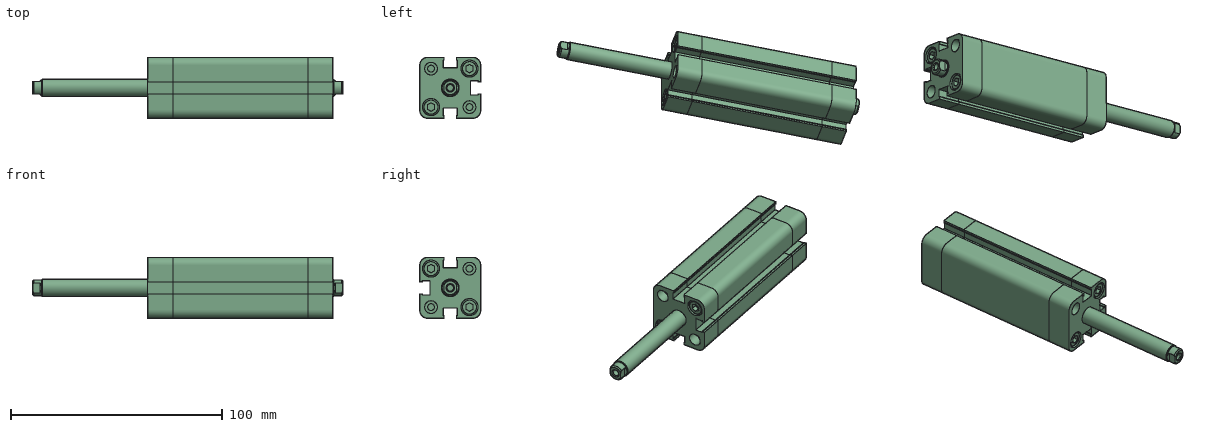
import cadquery as cq
import math


total_length = 147.0
front_overhang = 54.5
rear_overhang = 4.7
cap_length = 11.9
width = 29.0
corner_radius = 3.8

front_tip_x = -total_length / 2
rear_tip_x = total_length / 2
housing_front_x = front_tip_x + front_overhang
housing_rear_x = rear_tip_x - rear_overhang
tube_length = housing_rear_x - housing_front_x - 2 * cap_length

slot_mouth = 5.7
slot_width = 6.6
slot_depth = 4.9
lip_depth = 1.3
slot_angles = (0, 90, 180)

hole_offset = 9.1
mount_bore_diameter = 6.0
mount_bore_depth = 5.9
mount_core_diameter = 3.2
mount_core_depth = 8.8

screw_diameter = 8.1
screw_inset = 0.5
screw_chamfer = 0.7
socket_flats = 3.5
socket_depth = 2.6
socket_turn = 30

rod_diameter = 8.4
tip_diameter = 7.6
tip_length = 4.3
tip_chamfer = 0.6
wrench_flats = 6.0
rod_bore_diameter = 3.1
rod_bore_depth = 8.8
rod_bore_chamfer = 0.5


def cylinder(diameter, length, y=0.0, z=0.0):
    """Cylinder along +X that starts at x = 0."""
    return cq.Workplane("YZ", origin=(0, y, z)).circle(diameter / 2).extrude(length)


def make_slot(length):
    """Material removed by one slot, open towards +Z."""
    top = width / 2
    floor = top - slot_depth
    ledge = top - lip_depth
    half_outline = [
        (0, floor),
        (slot_width / 2, floor),
        (slot_width / 2, ledge),
        (slot_mouth / 2, ledge),
        (slot_mouth / 2, top),
        (0, top),
    ]
    half = cq.Workplane("YZ").polyline(half_outline).close().extrude(length)
    return half.union(half.mirror("XZ"))


def make_profile(length):
    """Housing section from x = 0 with its slots and the hole for the rod."""
    section = cq.Workplane("YZ").rect(width, width).extrude(length).edges("|X").fillet(corner_radius)
    slot = make_slot(length)
    for angle in slot_angles:
        section = section.cut(slot.rotate((0, 0, 0), (1, 0, 0), angle))
    return section.cut(cylinder(rod_diameter, length))


def make_mount_hole(y, z):
    """Material removed by one blind stepped hole."""
    bore = cylinder(mount_bore_diameter, mount_bore_depth, y, z)
    core = cylinder(mount_core_diameter, mount_core_depth, y, z)
    return bore.union(core)


def make_screw_recess(y, z):
    """Material removed around one sunken screw head with a chamfered rim and a hexagon socket."""
    radius = screw_diameter / 2
    recess_half = [
        (0, 0),
        (0, radius),
        (screw_inset + screw_chamfer, radius),
        (screw_inset, radius - screw_chamfer),
        (screw_inset, 0),
    ]
    recess = cq.Workplane("XY").polyline(recess_half).close().revolve(360, (0, 0, 0), (1, 0, 0))
    socket_corners = socket_flats / math.cos(math.pi / 6)
    socket = cq.Workplane("YZ").polygon(6, socket_corners).extrude(screw_inset + socket_depth)
    socket = socket.rotate((0, 0, 0), (1, 0, 0), socket_turn)
    return recess.union(socket).translate((0, y, z))


def make_cap():
    """End cap with its outer face at x = 0."""
    cap = make_profile(cap_length)
    for side in (1, -1):
        offset = side * hole_offset
        cap = cap.cut(make_mount_hole(offset, offset))
        cap = cap.cut(make_screw_recess(-offset, offset))
    return cap


def make_tube():
    """Profile tube between the caps."""
    return make_profile(tube_length).translate((housing_front_x + cap_length, 0, 0))


def make_tip_cut():
    """Material removed at the front rod tip: two wrench flats with sloped ends, and the bore."""
    flat = wrench_flats / 2
    tip = tip_diameter / 2
    slope = tip - flat
    flat_outline = [(0, flat), (tip_length - slope, flat), (tip_length, tip), (0, tip)]
    side = cq.Workplane("XY").polyline(flat_outline).close().extrude(tip, both=True)
    bore = cylinder(rod_bore_diameter, rod_bore_depth)
    mouth_radius = rod_bore_diameter / 2 + rod_bore_chamfer
    countersink = cq.Workplane("XY").polyline([(0, 0), (0, mouth_radius), (mouth_radius, 0)]).close()
    countersink = countersink.revolve(360, (0, 0, 0), (1, 0, 0))
    cut = side.union(side.mirror("XZ")).union(bore).union(countersink)
    return cut.translate((front_tip_x, 0, 0))


def make_rod():
    """Piston rod with the same tip at both ends."""
    tip = tip_diameter / 2
    shoulder = rod_diameter / 2
    tip_end = rear_tip_x - tip_length
    shoulder_x = tip_end - (shoulder - tip)
    half_outline = [
        (front_tip_x, 0),
        (front_tip_x, tip - tip_chamfer),
        (front_tip_x + tip_chamfer, tip),
        (-tip_end, tip),
        (-shoulder_x, shoulder),
        (shoulder_x, shoulder),
        (tip_end, tip),
        (rear_tip_x - tip_chamfer, tip),
        (rear_tip_x, tip - tip_chamfer),
        (rear_tip_x, 0),
    ]
    rod = cq.Workplane("XY").polyline(half_outline).close().revolve(360, (0, 0, 0), (1, 0, 0))
    tip_cut = make_tip_cut()
    return rod.cut(tip_cut).cut(tip_cut.mirror("YZ"))


front_cap = make_cap().translate((housing_front_x, 0, 0))
rear_cap = make_cap().mirror("YZ").translate((housing_rear_x, 0, 0))
tube = make_tube()
rod = make_rod()

result = cq.Compound.makeCompound([front_cap.val(), rear_cap.val(), tube.val(), rod.val()])